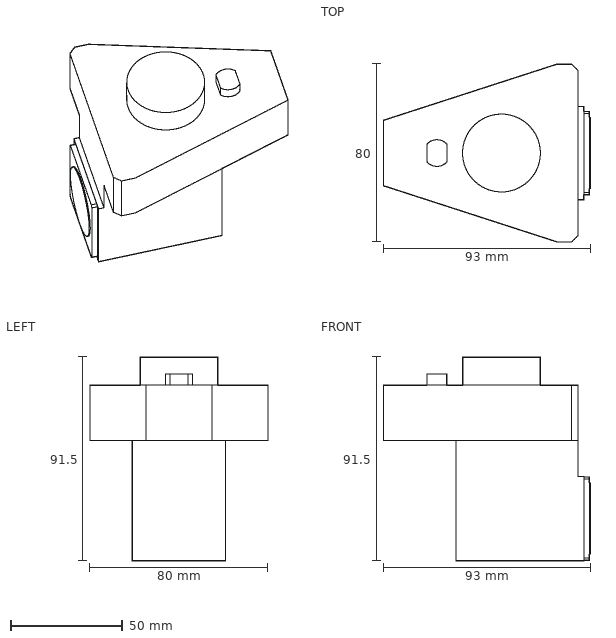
import cadquery as cq


plate_thickness = 25.0
plate_left_x = -53.0
plate_right_x = 34.5
plate_left_width = 29.5
plate_width = 80.0
plate_taper_end_x = 25.0
plate_corner_cut = 3.0

boss_diameter = 35.0
boss_height = 12.5
pin_x = -29.0
pin_diameter = 12.0
pin_flat_width = 9.0
pin_height = 5.0

housing_left_x = -20.5
housing_width = 42.0
housing_height = 54.0
step_projection = 2.5
step_height = 38.0

flange_size = 37.5
flange_thickness = 2.5
flange_corner_chamfer = 1.0
disc_diameter = 32.0
disc_thickness = 0.5

housing_bottom_z = -plate_thickness - housing_height
step_face_x = plate_right_x + step_projection
flange_face_x = step_face_x + flange_thickness
flange_center_z = housing_bottom_z + step_height / 2


def make_plate():
    """Plate narrowing toward -X, with its two +X corners cut off."""
    half_width = plate_width / 2
    upper_edge = [
        (plate_left_x, plate_left_width / 2),
        (plate_taper_end_x, half_width),
        (plate_right_x - plate_corner_cut, half_width),
        (plate_right_x, half_width - plate_corner_cut),
    ]
    lower_edge = [(x, -y) for x, y in reversed(upper_edge)]
    return cq.Workplane("XY").polyline(upper_edge + lower_edge).close().extrude(-plate_thickness)


def make_boss():
    """Round boss on the plate."""
    return cq.Workplane("XY").circle(boss_diameter / 2).extrude(boss_height)


def make_pin():
    """Locating pin with two flats facing -X and +X."""
    pin = cq.Workplane("XY").circle(pin_diameter / 2).extrude(pin_height)
    flats = cq.Workplane("XY").rect(pin_flat_width, pin_diameter).extrude(pin_height)
    return pin.intersect(flats).translate((pin_x, 0, 0))


def make_housing():
    """Block below the plate whose lower part steps out toward +X."""
    step_top_z = housing_bottom_z + step_height
    profile = [
        (housing_left_x, -plate_thickness),
        (plate_right_x, -plate_thickness),
        (plate_right_x, step_top_z),
        (step_face_x, step_top_z),
        (step_face_x, housing_bottom_z),
        (housing_left_x, housing_bottom_z),
    ]
    return cq.Workplane("XZ").polyline(profile).close().extrude(housing_width / 2, both=True)


def make_flange():
    """Square flange with chamfered corners, carrying a thin round disc."""
    flange = (
        cq.Workplane("YZ", origin=(step_face_x, 0, flange_center_z))
        .rect(flange_size, flange_size)
        .extrude(flange_thickness)
        .edges("|X")
        .chamfer(flange_corner_chamfer)
    )
    disc = (
        cq.Workplane("YZ", origin=(flange_face_x, 0, flange_center_z))
        .circle(disc_diameter / 2)
        .extrude(disc_thickness)
    )
    return flange.union(disc)


result = make_plate()
for feature in (make_boss(), make_pin(), make_housing(), make_flange()):
    result = result.union(feature)